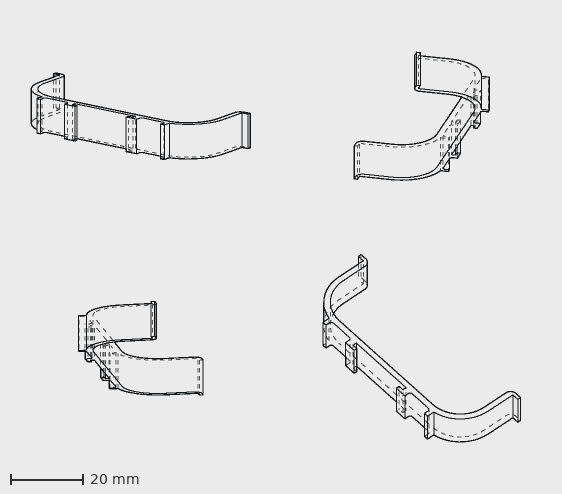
import cadquery as cq

length = 68.0
depth = 24.0
height = 10.0

wall = 1.85
lip_reach = 2.1
lip_thickness = 1.0
lip_radius = 2.0
straight_side = 10.0

foot_height = 2.05
foot_outer_x = 22.3
foot_width = 1.3
hook_leg_outer_x = 12.65
hook_leg_width = 2.05
hook_reach = 1.6
hook_thickness = 1.0
foot_fillet = 0.8
center_relief = 0.15

outer_x = length / 2 - lip_reach
inner_x = outer_x - wall
floor_top = foot_height + wall
arc_center_y = depth - straight_side
inner_radius = arc_center_y - floor_top
outer_radius = inner_radius + wall
foot_inner_x = foot_outer_x - foot_width
hook_leg_inner_x = hook_leg_outer_x - hook_leg_width
hook_tip_x = hook_leg_inner_x - hook_reach


def box(x_min, x_max, y_min, y_max):
    """Full-height block between two X and two Y positions."""
    return cq.Workplane("XY").box(
        x_max - x_min, y_max - y_min, height, centered=False
    ).translate((x_min, y_min, 0))


def rounded_channel(half_width, bottom, corner_radius):
    """Solid U outline, open toward +Y, with both lower corners rounded."""
    block = box(-half_width, half_width, bottom, depth)
    return block.edges("|Z and <Y").fillet(corner_radius)


def wall_band():
    outside = rounded_channel(outer_x, foot_height, outer_radius)
    inside = rounded_channel(inner_x, floor_top, inner_radius)
    return outside.cut(inside)


def lip():
    """Right-hand outward lip, including the rounded top of the wall."""
    flange = box(inner_x, length / 2, depth - lip_thickness, depth)
    wall_end = box(inner_x, outer_x, depth - straight_side, depth)
    return flange.union(wall_end).edges("|Z and <X and >Y").fillet(lip_radius)


def feet():
    """Right-hand outer foot and hook, joined by the filleted recess."""
    floor_middle = foot_height + wall / 2
    block = box(hook_leg_inner_x, foot_outer_x, 0, floor_middle)
    recess = box(hook_leg_outer_x, foot_inner_x, -foot_height, foot_height)
    recess = recess.edges("|Z and >Y").fillet(foot_fillet)
    hook = box(hook_tip_x, hook_leg_outer_x, 0, hook_thickness)
    return block.cut(recess).union(hook)


wall_ends = box(-length, length, arc_center_y, depth)
result = wall_band().cut(wall_ends)

relief = box(-hook_leg_inner_x, hook_leg_inner_x, foot_height, foot_height + center_relief)
result = result.cut(relief)

for side_feature in (lip(), feet()):
    result = result.union(side_feature).union(side_feature.mirror("YZ"))